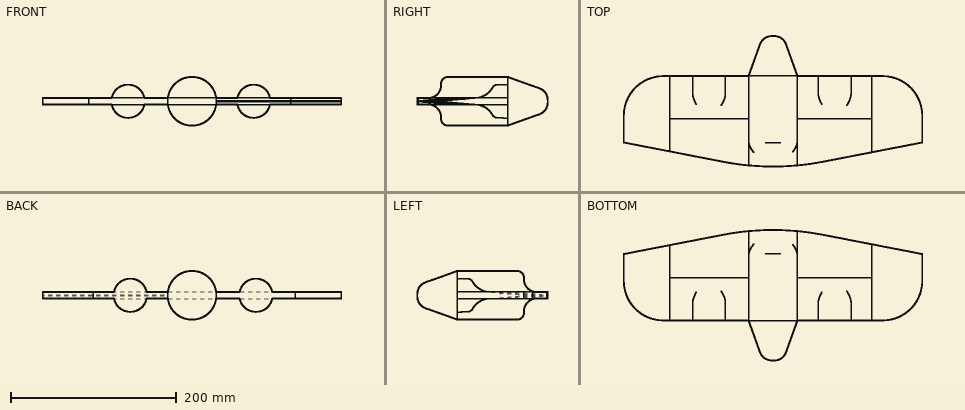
import cadquery as cq
import math

span = 360.0
half_span = span / 2
half_thickness = 4.0
tip_radius = 48.0
tip_rear_y = -80.3
trailing_arc_x = 59.5
trailing_arc_y = -103.5
hinge_y = -52.0
left_joint_x = -124.5
right_joint_x = 119.0

sweep = math.atan2(tip_rear_y - trailing_arc_y, half_span - trailing_arc_x)
trailing_radius = trailing_arc_x / math.sin(sweep)
arc_centre_y = trailing_arc_y + trailing_radius * math.cos(sweep)
trailing_y = arc_centre_y - trailing_radius

taper_length = 40.0
edge_half_thickness = 0.5

fuselage_radius = 29.5
nose_length = 48.2
nose_tip_radius = 12.2
nose_round = 15.0
fuselage_end_y = -80.5
fuselage_flare = 15.0
fuselage_edge_round = 8.5

nacelle_radius = 20.0
nacelle_end_y = -15.0
nacelle_flare = 25.0
nacelle_edge_round = 7.5

margin = 3.5


def wing_plate():
    """Whole wing at constant thickness."""
    return (
        cq.Workplane("XY", origin=(0, 0, -half_thickness))
        .moveTo(-half_span + tip_radius, 0)
        .lineTo(half_span - tip_radius, 0)
        .radiusArc((half_span, -tip_radius), tip_radius)
        .lineTo(half_span, tip_rear_y)
        .lineTo(trailing_arc_x, trailing_arc_y)
        .threePointArc((0, trailing_y), (-trailing_arc_x, trailing_arc_y))
        .lineTo(-half_span, tip_rear_y)
        .lineTo(-half_span, -tip_radius)
        .radiusArc((-half_span + tip_radius, 0), tip_radius)
        .close()
        .extrude(2 * half_thickness)
    )


def panel(plate, x_start, x_end, y_start, y_end):
    """Part of the wing inside a rectangle."""
    region = (
        cq.Workplane("XY", origin=(0, 0, -half_thickness))
        .moveTo(x_start, y_start)
        .lineTo(x_end, y_start)
        .lineTo(x_end, y_end)
        .lineTo(x_start, y_end)
        .close()
        .extrude(2 * half_thickness)
    )
    return plate.intersect(region)


def taper_profile(plane):
    """Wedge above the taper, with local x measured outward from the arc centre."""
    slope = (half_thickness - edge_half_thickness) / taper_length
    outer = trailing_radius + margin
    return (
        cq.Workplane(plane)
        .moveTo(trailing_radius - taper_length, half_thickness)
        .lineTo(outer, edge_half_thickness - slope * margin)
        .lineTo(outer, half_thickness + margin)
        .lineTo(trailing_radius - taper_length, half_thickness + margin)
        .close()
    )


def taper_right(body):
    """Thin the trailing edge from both faces, along its arc and its straight part."""
    centre = (0, arc_centre_y, 0)
    arc_start = cq.Plane(origin=centre, xDir=(0, -1, 0), normal=(-1, 0, 0))
    along = (math.cos(sweep), math.sin(sweep), 0)
    outward = (math.sin(sweep), -math.cos(sweep), 0)
    straight_start = cq.Plane(origin=centre, xDir=outward, normal=tuple(-c for c in along))
    curved = taper_profile(arc_start).revolve(math.degrees(sweep), (0, 0), (0, 1))
    straight = taper_profile(straight_start).extrude(-span)
    for wedge in (curved, straight):
        body = body.cut(wedge).cut(wedge.mirror("XY"))
    return body


def flared_barrel(centre_x, radius, end_y, flare, edge_round):
    """Two mirrored caps of a cylinder along Y, each sweeping down to its wing face at the rear."""
    foot_y = end_y - flare
    rear_y = foot_y - 2 * edge_round
    top_z = max(radius, half_thickness + flare) + margin
    arc_centre_z = half_thickness + flare
    arc_middle = (
        foot_y + flare * math.sqrt(0.5),
        arc_centre_z - flare * math.sqrt(0.5),
    )
    clearance = (
        cq.Workplane("YZ", origin=(centre_x, 0, 0))
        .moveTo(rear_y - margin, half_thickness)
        .lineTo(foot_y, half_thickness)
        .threePointArc(arc_middle, (end_y, arc_centre_z))
        .lineTo(end_y, top_z)
        .lineTo(rear_y - margin, top_z)
        .close()
        .extrude(radius + margin, both=True)
    )
    barrel = cq.Workplane("XZ", origin=(centre_x, 0, 0)).circle(radius).extrude(-rear_y)
    barrel = barrel.cut(clearance)

    rim_zone = cq.selectors.BoxSelector(
        (centre_x - radius - margin, rear_y + edge_round / 2, half_thickness / 2),
        (centre_x + radius + margin, -margin, top_z),
    )
    rim = barrel.edges(rim_zone).edges("not(|X)")
    cap_zone = (
        cq.Workplane("XY", origin=(centre_x, 0, half_thickness))
        .rect(2 * (radius + margin), -2 * rear_y)
        .extrude(top_z)
    )
    upper = rim.fillet(edge_round).intersect(cap_zone)
    return upper, upper.mirror("XY")


def make_nose():
    """Cone ahead of the wing with a rounded end."""
    cone = (
        cq.Workplane("XZ")
        .circle(fuselage_radius)
        .workplane(offset=-nose_length)
        .circle(nose_tip_radius)
        .loft()
    )
    return cone.faces(">Y").edges().fillet(nose_round)


def make_fuselage(plate):
    """Round body with its nose and the middle strip of the wing."""
    strip = panel(plate, -fuselage_radius, fuselage_radius, trailing_y - margin, 0)
    upper, lower = flared_barrel(
        0, fuselage_radius, fuselage_end_y, fuselage_flare, fuselage_edge_round
    )
    return strip.union(upper).union(lower).union(make_nose())


def make_front_panel(plate, x_start, x_end):
    """Wing panel ahead of the hinge line, with a nacelle at mid width."""
    upper, lower = flared_barrel(
        (x_start + x_end) / 2, nacelle_radius, nacelle_end_y, nacelle_flare, nacelle_edge_round
    )
    return panel(plate, x_start, x_end, hinge_y, 0).union(upper).union(lower)


def make_rear_panel(plate, x_start, x_end):
    """Wing panel behind the hinge line."""
    return panel(plate, x_start, x_end, trailing_y - margin, hinge_y)


def make_tip(plate, x_start, x_end):
    """Wing tip over the full chord."""
    return panel(plate, x_start, x_end, trailing_y - margin, 0)


wing = wing_plate()
fuselage = make_fuselage(wing)

left_tip = make_tip(wing, -half_span, left_joint_x)
right_tip = taper_right(make_tip(wing, right_joint_x, half_span))

bodies = [fuselage.val(), left_tip.val(), right_tip.val()]
for side_start, side_end in ((left_joint_x, -fuselage_radius), (fuselage_radius, right_joint_x)):
    front_panel = make_front_panel(wing, side_start, side_end)
    rear_panel = make_rear_panel(wing, side_start, side_end)
    if side_start > 0:
        front_panel = taper_right(front_panel)
        rear_panel = taper_right(rear_panel)
    bodies += [front_panel.val(), rear_panel.val()]

result = cq.Compound.makeCompound(bodies)